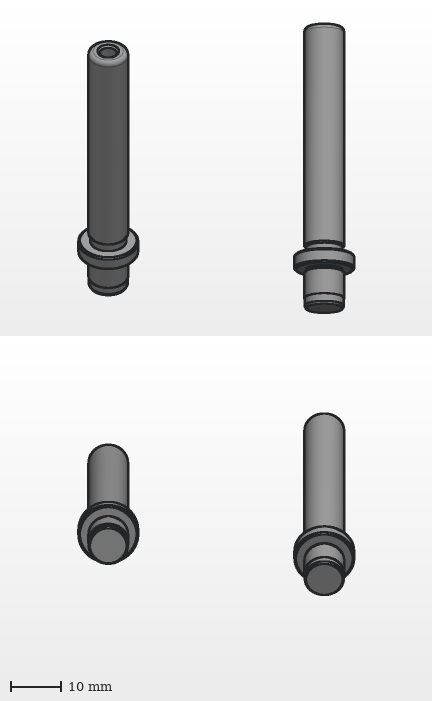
import cadquery as cq
import math

total_length = 58.0
shaft_radius = 4.0
top_round = 1.0
edge_chamfer = 0.35

flange_diameter = 12.0
flange_bottom = 8.0
flange_thickness = 2.95
flange_radius = flange_diameter / 2
flange_top = flange_bottom + flange_thickness

neck_radius = shaft_radius - edge_chamfer
upper_neck_length = 1.6
lower_neck_length = 0.35
shaft_bottom = flange_top + upper_neck_length
spigot_top = flange_bottom - lower_neck_length

lead_radius = 3.95
lead_length = 2.1
lead_chamfer_height = 0.5
lead_chamfer_width = 0.3

hole_radius = 1.7
hole_depth = 11.6
countersink_depth = 0.45
drill_point_angle = 118.0


def turned_body():
    """Spigot, flange and shaft revolved about the Z axis."""
    round_centre_radius = shaft_radius - top_round
    round_start = total_length - top_round
    round_offset = top_round * math.sqrt(0.5)
    round_middle = (round_centre_radius + round_offset, round_start + round_offset)
    profile = (
        cq.Workplane("XZ")
        .moveTo(0, 0)
        .lineTo(lead_radius - lead_chamfer_width, 0)
        .lineTo(lead_radius, lead_chamfer_height)
        .lineTo(lead_radius, lead_length)
        .lineTo(shaft_radius, lead_length)
        .lineTo(shaft_radius, spigot_top - edge_chamfer)
        .lineTo(neck_radius, spigot_top)
        .lineTo(neck_radius, flange_bottom)
        .lineTo(flange_radius - edge_chamfer, flange_bottom)
        .lineTo(flange_radius, flange_bottom + edge_chamfer)
        .lineTo(flange_radius, flange_top - edge_chamfer)
        .lineTo(flange_radius - edge_chamfer, flange_top)
        .lineTo(neck_radius, flange_top)
        .lineTo(neck_radius, shaft_bottom)
        .lineTo(shaft_radius, shaft_bottom + edge_chamfer)
        .lineTo(shaft_radius, round_start)
        .threePointArc(round_middle, (round_centre_radius, total_length))
        .lineTo(0, total_length)
        .close()
    )
    return profile.revolve(360, (0, 0, 0), (0, 1, 0))


def drilled_hole():
    """Hole volume with a 45 degree countersink and a conical drill point."""
    hole_bottom = total_length - hole_depth
    point_height = hole_radius / math.tan(math.radians(drill_point_angle / 2))
    profile = (
        cq.Workplane("XZ")
        .moveTo(0, hole_bottom - point_height)
        .lineTo(hole_radius, hole_bottom)
        .lineTo(hole_radius, total_length - countersink_depth)
        .lineTo(hole_radius + countersink_depth, total_length)
        .lineTo(0, total_length)
        .close()
    )
    return profile.revolve(360, (0, 0, 0), (0, 1, 0))


result = turned_body().cut(drilled_hole())